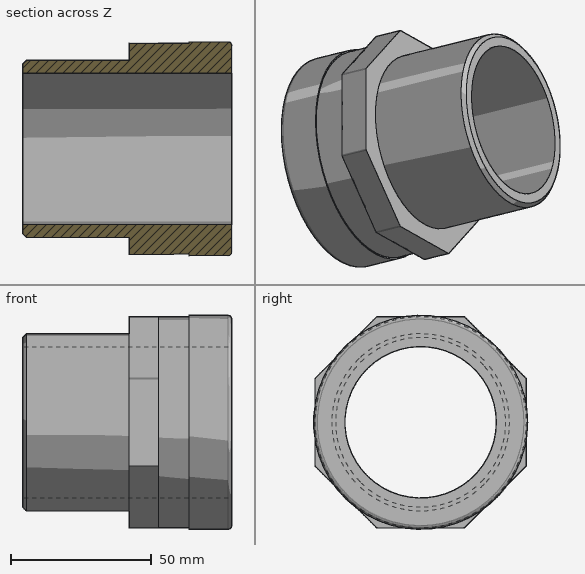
import cadquery as cq

spigot_length = 37.8
octagon_length = 10.3
neck_length = 10.9
collar_length = 15.2
tip_chamfer_length = 1.35

bore_diameter = 53.6
spigot_diameter = 63.0
spigot_tip_diameter = 60.3
octagon_across_flats = 75.0
octagon_flat_angle = 360 / 8
neck_diameter = 75.0
collar_diameter = 76.0

collar_end_radius = 1.35
octagon_corner_radius = 0.4

octagon_start = spigot_length
neck_start = octagon_start + octagon_length
collar_start = neck_start + neck_length
total_length = collar_start + collar_length


def axial_plane(x):
    """Plane across the part axis at position x, facing +X."""
    return cq.Workplane("YZ", origin=(x, 0, 0))


def turned_body():
    """Spigot, neck and collar as one revolved profile about the X axis."""
    return (
        cq.Workplane("XY")
        .moveTo(0, 0)
        .lineTo(0, spigot_tip_diameter / 2)
        .lineTo(tip_chamfer_length, spigot_diameter / 2)
        .lineTo(octagon_start, spigot_diameter / 2)
        .lineTo(octagon_start, neck_diameter / 2)
        .lineTo(collar_start, neck_diameter / 2)
        .lineTo(collar_start, collar_diameter / 2)
        .lineTo(total_length - collar_end_radius, collar_diameter / 2)
        .radiusArc((total_length, collar_diameter / 2 - collar_end_radius), collar_end_radius)
        .lineTo(total_length, 0)
        .close()
        .revolve(360, (0, 0, 0), (1, 0, 0))
    )


def wrench_octagon():
    """Octagonal grip with flats square to the Y and Z axes."""
    square = axial_plane(octagon_start).rect(octagon_across_flats, octagon_across_flats).extrude(octagon_length)
    octagon = square.intersect(square.rotate((0, 0, 0), (1, 0, 0), octagon_flat_angle))
    return octagon.edges("|X").fillet(octagon_corner_radius)


def through_bore():
    """Plain bore running the full length of the part."""
    return axial_plane(0).circle(bore_diameter / 2).extrude(total_length)


result = turned_body().union(wrench_octagon()).cut(through_bore())